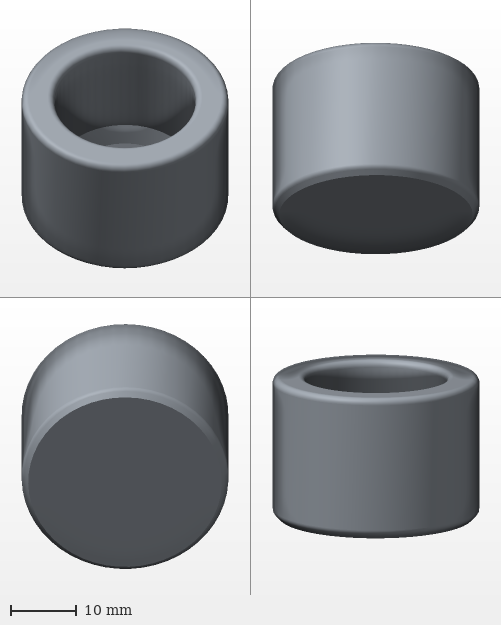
import cadquery as cq
import math

outer_diameter = 31.5
height = 22.0
rim_radius = 1.0

foot_chamfer = 1.0
foot_blend_radius = 1.0

bore_diameter = 21.5
bore_depth = 18.02
floor_diameter = 17.5

outer_radius = outer_diameter / 2
bore_radius = bore_diameter / 2
floor_radius = floor_diameter / 2
floor_z = height - bore_depth
cone_height = bore_radius - floor_radius

blend_tangent = foot_blend_radius * math.tan(math.radians(45 / 2))
blend_centre = (outer_radius - foot_blend_radius, foot_chamfer + blend_tangent)


def blend_point(angle):
    """Point on the foot blend, at an angle in degrees below horizontal."""
    drop = math.radians(angle)
    return (
        blend_centre[0] + foot_blend_radius * math.cos(drop),
        blend_centre[1] - foot_blend_radius * math.sin(drop),
    )


def rim_middle(centre_radius, side):
    """Middle of a rim rounding; side is +1 for outward, -1 for inward."""
    offset = rim_radius * math.sqrt(0.5)
    return (centre_radius + side * offset, height - rim_radius + offset)


outer_rim_centre = outer_radius - rim_radius
inner_rim_centre = bore_radius + rim_radius

profile = (
    cq.Workplane("XZ")
    .moveTo(0, 0)
    .lineTo(outer_radius - foot_chamfer, 0)
    .lineTo(*blend_point(45))
    .threePointArc(blend_point(45 / 2), blend_point(0))
    .lineTo(outer_radius, height - rim_radius)
    .threePointArc(rim_middle(outer_rim_centre, 1), (outer_rim_centre, height))
    .lineTo(inner_rim_centre, height)
    .threePointArc(rim_middle(inner_rim_centre, -1), (bore_radius, height - rim_radius))
    .lineTo(bore_radius, floor_z + cone_height)
    .lineTo(floor_radius, floor_z)
    .lineTo(0, floor_z)
    .close()
)

result = profile.revolve(360, (0, 0, 0), (0, 1, 0))